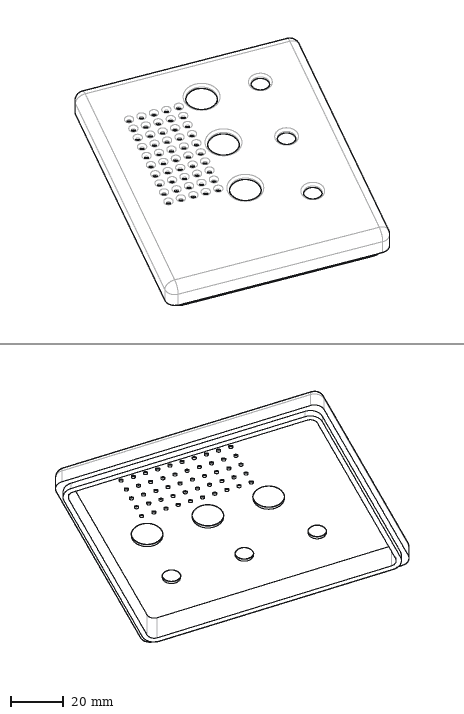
import cadquery as cq

LENGTH = 110.0
WIDTH = 90.0
HEIGHT = 13.0
EDGE_RADIUS = 4.0

LIP_HEIGHT = 3.0
LIP_INSET = 2.0
LIP_RADIUS = 5.0
LIP_THICKNESS = 2.0

PLATE_THICKNESS = 1.9
RIM_RADIUS = 1.0

SMALL_DIAMETER = 7.0
SMALL_CENTER_X = -5.0
SMALL_SPACING = 29.9
SMALL_Y = 23.5

LARGE_DIAMETER = 12.0
LARGE_CENTER_X = -10.0
LARGE_SPACING = 25.0
LARGE_Y = 0.0

GRILLE_DIAMETER = 1.5
GRILLE_COLUMNS = 10
GRILLE_ROWS = 5
GRILLE_LENGTH = 45.0
GRILLE_CENTER_X = -10.6
GRILLE_CENTER_Y = -19.8
GRILLE_PITCH = GRILLE_LENGTH / (GRILLE_COLUMNS - 1)

LIP_LENGTH = LENGTH - 2 * LIP_INSET
LIP_WIDTH = WIDTH - 2 * LIP_INSET


def rounded_block(length, width, height, radius, bottom):
    """Block centred on the Z axis with rounded upright corners."""
    return (
        cq.Workplane("XY", origin=(0, 0, bottom))
        .rect(length, width)
        .extrude(height)
        .edges("|Z")
        .fillet(radius)
    )


def cover_shell():
    """Hollow cover, rounded on top, with a stepped lip below."""
    body = (
        cq.Workplane("XY", origin=(0, 0, LIP_HEIGHT))
        .rect(LENGTH, WIDTH)
        .extrude(HEIGHT - LIP_HEIGHT)
        .edges("|Z or >Z")
        .fillet(EDGE_RADIUS)
    )
    lip = rounded_block(LIP_LENGTH, LIP_WIDTH, LIP_HEIGHT, LIP_RADIUS, 0)
    cavity = rounded_block(
        LIP_LENGTH - 2 * LIP_THICKNESS,
        LIP_WIDTH - 2 * LIP_THICKNESS,
        HEIGHT - PLATE_THICKNESS,
        LIP_RADIUS - LIP_THICKNESS,
        0,
    )
    return body.union(lip).cut(cavity)


def hole_cutter(diameter):
    """Through-hole tool that flares to leave a rounded rim at the top face."""
    radius = diameter / 2
    rim_bottom = HEIGHT - RIM_RADIUS
    return (
        cq.Workplane("XZ")
        .lineTo(radius, 0)
        .lineTo(radius, rim_bottom)
        .radiusArc((radius + RIM_RADIUS, HEIGHT), RIM_RADIUS)
        .lineTo(0, HEIGHT)
        .close()
        .revolve(360, (0, 0, 0), (0, 1, 0))
    )


def hole_row(diameter, center_x, spacing, y):
    """Tools for three evenly spaced holes along X."""
    tool = hole_cutter(diameter)
    return [tool.translate((center_x + step * spacing, y, 0)) for step in (-1, 0, 1)]


def grille():
    """Tools for the rectangular grid of fine holes."""
    tool = hole_cutter(GRILLE_DIAMETER)
    tools = []
    for column in range(GRILLE_COLUMNS):
        x = GRILLE_CENTER_X + (column - (GRILLE_COLUMNS - 1) / 2) * GRILLE_PITCH
        for row in range(GRILLE_ROWS):
            y = GRILLE_CENTER_Y + (row - (GRILLE_ROWS - 1) / 2) * GRILLE_PITCH
            tools.append(tool.translate((x, y, 0)))
    return tools


cutters = hole_row(SMALL_DIAMETER, SMALL_CENTER_X, SMALL_SPACING, SMALL_Y)
cutters += hole_row(LARGE_DIAMETER, LARGE_CENTER_X, LARGE_SPACING, LARGE_Y)
cutters += grille()

result = cover_shell()
for cutter in cutters:
    result = result.cut(cutter)